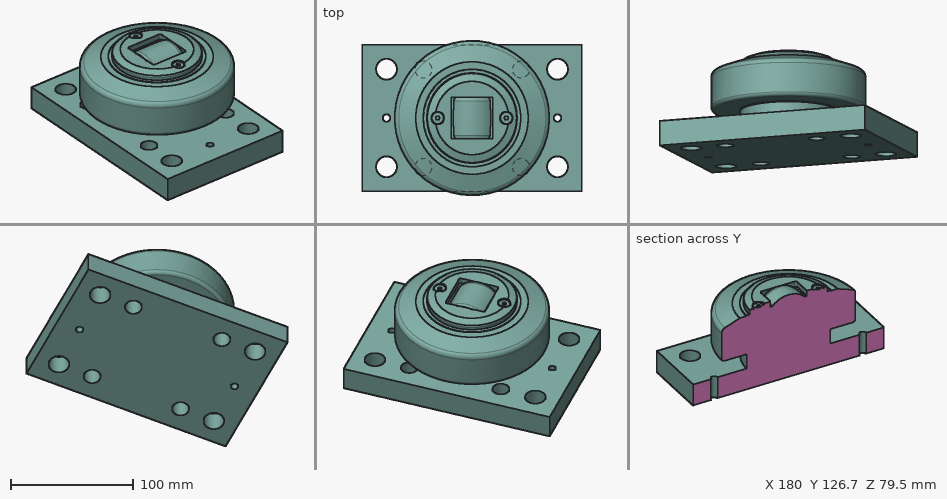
import cadquery as cq
import math

plate_length = 180.0
plate_width = 120.0
plate_height = 20.5
corner_hole_x = 70.0
hole_y = 40.0
corner_hole_diameter = 17.0
inner_hole_x = hole_y
inner_hole_diameter = 13.9
pin_hole_diameter = 6.0

column_radius = 80.0 / 2
column_top = 71.6
neck_radius = 39.6
neck_top = 33.3
roller_radius = 126.7 / 2
roller_bottom = 33.8
roller_top = 71.1
roller_top_radius = 46.0
bottom_round = 3.0
cone_base_radius = 60.3
cone_base_height = 65.9
upper_round_start = 61.5

disc_radius = 74.0 / 2
disc_straight_top = 74.3
disc_shoulder_radius = 36.5
disc_shoulder_height = 75.8
disc_top_radius = 30.0
disc_top = 78.1

total_height = 79.5
pocket_size = 34.2
pocket_depth = 5.0
pocket_corner_radius = 1.6
small_roller_radius = 21.2
small_roller_length = 33.8
small_roller_axis_height = total_height - small_roller_radius
crown_half_length = 14.0
crown_end_radius = 21.0
small_roller_end_radius = 20.2

screw_offset = 28.0
screw_recess_diameter = 10.5
screw_recess_depth = 2.5
screw_head_diameter = 9.7
screw_head_height = 1.5
socket_width = 3.0
socket_depth = 1.0


def make_plate():
    plate = cq.Workplane("XY").box(plate_length, plate_width, plate_height, centered=(True, True, False))

    def drill(body, points, diameter):
        holes = cq.Workplane("XY").pushPoints(points).circle(diameter / 2).extrude(plate_height)
        return body.cut(holes)

    sides = (-1, 1)
    corner_points = [(i * corner_hole_x, j * hole_y) for i in sides for j in sides]
    inner_points = [(i * inner_hole_x, j * hole_y) for i in sides for j in sides]
    pin_points = [(i * corner_hole_x, 0) for i in sides]
    plate = drill(plate, corner_points, corner_hole_diameter)
    plate = drill(plate, inner_points, inner_hole_diameter)
    return drill(plate, pin_points, pin_hole_diameter)


def make_turned_body():
    """Column, large roller and cover disc, revolved from one half profile."""
    diagonal = bottom_round * math.sqrt(0.5)
    round_middle = (
        roller_radius - bottom_round + diagonal,
        roller_bottom + bottom_round - diagonal,
    )
    profile = (
        cq.Workplane("XZ")
        .moveTo(0, plate_height)
        .lineTo(neck_radius, plate_height)
        .lineTo(neck_radius, neck_top)
        .lineTo(column_radius, neck_top)
        .lineTo(column_radius, roller_bottom)
        .lineTo(roller_radius - bottom_round, roller_bottom)
        .threePointArc(round_middle, (roller_radius, roller_bottom + bottom_round))
        .lineTo(roller_radius, upper_round_start)
        .tangentArcPoint((cone_base_radius, cone_base_height), relative=False)
        .lineTo(roller_top_radius, roller_top)
        .lineTo(column_radius, roller_top)
        .lineTo(column_radius, column_top)
        .lineTo(disc_radius, column_top)
        .lineTo(disc_radius, disc_straight_top)
        .lineTo(disc_shoulder_radius, disc_shoulder_height)
        .lineTo(disc_top_radius, disc_top)
        .lineTo(0, disc_top)
        .close()
    )
    return profile.revolve(360, (0, 0, 0), (0, 1, 0))


def make_pocket():
    """Square pocket with rounded corners, open at the top of the cover disc."""
    return (
        cq.Workplane("XY", origin=(0, 0, disc_top - pocket_depth))
        .rect(pocket_size, pocket_size)
        .extrude(pocket_depth)
        .edges("|Z")
        .fillet(pocket_corner_radius)
    )


def make_small_roller():
    """Part of the crowned roller that stands above the pocket floor."""
    half_length = small_roller_length / 2
    roller = (
        cq.Workplane("XY")
        .moveTo(0, -half_length)
        .lineTo(small_roller_end_radius, -half_length)
        .lineTo(crown_end_radius, -crown_half_length)
        .threePointArc((small_roller_radius, 0), (crown_end_radius, crown_half_length))
        .lineTo(small_roller_end_radius, half_length)
        .lineTo(0, half_length)
        .close()
        .revolve(360, (0, 0, 0), (0, 1, 0))
        .translate((0, 0, small_roller_axis_height))
    )
    floor_height = disc_top - pocket_depth
    exposed_space = (
        cq.Workplane("XY", origin=(0, 0, floor_height))
        .rect(pocket_size, pocket_size)
        .extrude(total_height - floor_height)
    )
    return roller.intersect(exposed_space)


def add_screw(body, x):
    """Sink a socket-head screw into the cover disc at the given X."""
    recess_floor = disc_top - screw_recess_depth
    floor = cq.Workplane("XY", origin=(x, 0, recess_floor))
    recess = floor.circle(screw_recess_diameter / 2).extrude(screw_recess_depth)
    head = floor.circle(screw_head_diameter / 2).extrude(screw_head_height)
    socket_diameter = socket_width / math.cos(math.pi / 6)
    socket = head.faces(">Z").workplane().polygon(6, socket_diameter).extrude(-socket_depth, combine=False)
    return body.cut(recess).union(head.cut(socket))


result = make_plate().union(make_turned_body())
result = result.cut(make_pocket()).union(make_small_roller())
for side in (-1, 1):
    result = add_screw(result, side * screw_offset)